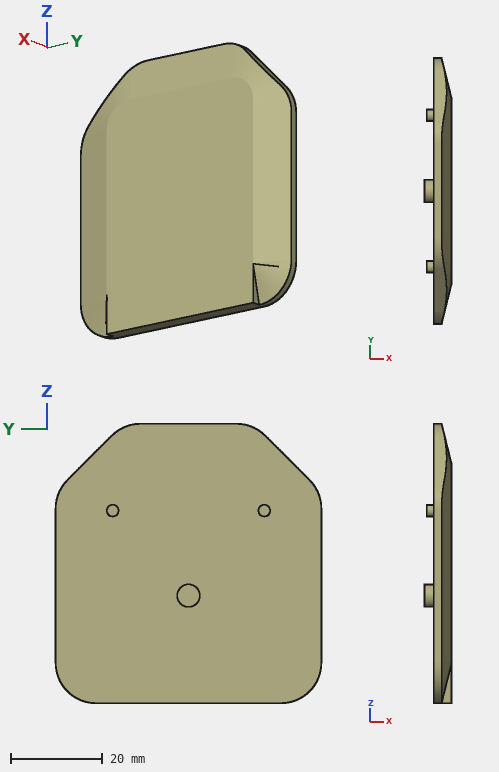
import cadquery as cq
import math

height = 61.0
width = 58.0
overall_depth = 6.0
stud_length = 2.0
plate_thickness = overall_depth - stud_length
half_width = width / 2

rim_thickness = 1.75
bevel_rise = plate_thickness - rim_thickness
corner_radius = 8.85
bevel_run = corner_radius
bevel_angle = math.degrees(math.atan2(bevel_run, bevel_rise))

border_corner_radius = 14.8
corner_cut = 14.9

stud_diameter = 4.95
stud_height = 23.5
pin_diameter = 2.55
pin_length = 1.5
pin_offset = 16.55
pin_height = 42.0


def bevelled_upper_plate():
    """Plate above the lower corners, sloping towards its sides and top."""
    blank_height = height + 2 * bevel_run
    blank = cq.Workplane("YZ").center(0, height - blank_height / 2).rect(width, blank_height)
    base = blank.extrude(rim_thickness).edges("|X and >Z").fillet(border_corner_radius)
    plate = base.faces(">X").wires().toPending().extrude(bevel_rise, taper=bevel_angle)
    keep = cq.Workplane("XY").box(
        plate_thickness, width, height - corner_radius, centered=(False, True, False)
    ).translate((0, 0, corner_radius))
    return plate.intersect(keep)


def lower_corner(y):
    """Round lower corner: a disc topped by a cone."""
    center = cq.Workplane("YZ").center(y, corner_radius)
    disc = center.circle(corner_radius).extrude(rim_thickness)
    cone = cq.Solid.makeCone(
        corner_radius,
        corner_radius - bevel_run,
        bevel_rise,
        pnt=cq.Vector(rim_thickness, y, corner_radius),
        dir=cq.Vector(1, 0, 0),
    )
    return disc.union(cq.Workplane(obj=cone))


def trimming_outline():
    """Prism with the 45 degree upper corners and every corner rounded."""
    outline = [
        (-half_width, 0),
        (half_width, 0),
        (half_width, height - corner_cut),
        (half_width - corner_cut, height),
        (corner_cut - half_width, height),
        (-half_width, height - corner_cut),
    ]
    prism = cq.Workplane("YZ").polyline(outline).close().extrude(plate_thickness)
    return prism.edges("|X").fillet(corner_radius)


def pin(y, z, diameter, length):
    """Round pin standing out of the flat -X face."""
    return cq.Workplane("YZ").center(y, z).circle(diameter / 2).extrude(-length)


lower_block = cq.Workplane("XY").box(
    plate_thickness, width - 2 * corner_radius, corner_radius, centered=(False, True, False)
)
result = bevelled_upper_plate().union(lower_block)
for side in (-1, 1):
    result = result.union(lower_corner(side * (half_width - corner_radius)))
result = result.intersect(trimming_outline())

result = result.union(pin(0, stud_height, stud_diameter, stud_length))
for side in (-1, 1):
    result = result.union(pin(side * pin_offset, pin_height, pin_diameter, pin_length))